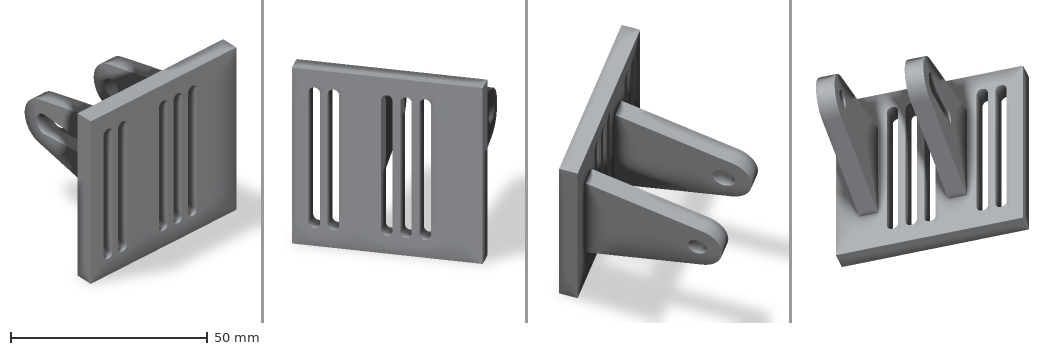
import cadquery as cq
import math

plate_side = 50.0
plate_thickness = 5.0
overall_depth = 41.65

slot_length = 40.0
slot_width = 3.0
slot_centers_y = (-19.1, -14.1, -0.1, 4.9, 9.9)

arm_thickness = 5.0
arm_base_height = 27.7
arm_tip_radius = 6.8
front_arm_near_y = -10.0
back_arm_near_y = 13.7

pivot_radius = 2.55
pivot_from_tip = 6.65

pocket_depth = 4.1
pocket_wide_radius = 3.0
pocket_wide_from_tip = 7.5
pocket_narrow_radius = 2.0
pocket_narrow_from_tip = 21.1

tip_x = -overall_depth / 2
plate_front_x = overall_depth / 2 - plate_thickness


def extrude_back(outline, near_y, length):
    """Extrude an outline drawn in the XZ plane toward +Y, starting at near_y."""
    return outline.extrude(-length).translate((0, near_y, 0))


def disc(center_x, radius, near_y, length):
    outline = cq.Workplane("XZ").center(center_x, 0).circle(radius)
    return extrude_back(outline, near_y, length)


def arm(near_y):
    half_base = arm_base_height / 2
    center_x = tip_x + arm_tip_radius
    reach = plate_front_x - center_x
    corner_angle = math.atan2(half_base, reach)
    tangent_angle = corner_angle + math.acos(arm_tip_radius / math.hypot(reach, half_base))
    tangent_x = center_x + arm_tip_radius * math.cos(tangent_angle)
    tangent_z = arm_tip_radius * math.sin(tangent_angle)
    outline = (
        cq.Workplane("XZ")
        .moveTo(plate_front_x, -half_base)
        .lineTo(plate_front_x, half_base)
        .lineTo(tangent_x, tangent_z)
        .threePointArc((tip_x, 0), (tangent_x, -tangent_z))
        .close()
    )
    return extrude_back(outline, near_y, arm_thickness)


def tapered_pocket(near_y):
    wide_x = tip_x + pocket_wide_from_tip
    narrow_x = tip_x + pocket_narrow_from_tip
    tangent_cos = (pocket_wide_radius - pocket_narrow_radius) / (narrow_x - wide_x)
    tangent_sin = math.sqrt(1 - tangent_cos**2)
    wide_tangent_x = wide_x + pocket_wide_radius * tangent_cos
    wide_tangent_z = pocket_wide_radius * tangent_sin
    narrow_tangent_x = narrow_x + pocket_narrow_radius * tangent_cos
    narrow_tangent_z = pocket_narrow_radius * tangent_sin
    outline = (
        cq.Workplane("XZ")
        .moveTo(wide_tangent_x, wide_tangent_z)
        .lineTo(narrow_tangent_x, narrow_tangent_z)
        .threePointArc((narrow_x + pocket_narrow_radius, 0), (narrow_tangent_x, -narrow_tangent_z))
        .lineTo(wide_tangent_x, -wide_tangent_z)
        .threePointArc((wide_x - pocket_wide_radius, 0), (wide_tangent_x, wide_tangent_z))
        .close()
    )
    return extrude_back(outline, near_y, pocket_depth)


def slotted_plate():
    plate = cq.Workplane("XY").box(plate_thickness, plate_side, plate_side)
    slots = (
        cq.Workplane("YZ", origin=(-plate_thickness / 2, 0, 0))
        .pushPoints([(y, 0) for y in slot_centers_y])
        .slot2D(slot_length, slot_width, 90)
        .extrude(plate_thickness)
    )
    return plate.cut(slots).translate((plate_front_x + plate_thickness / 2, 0, 0))


pivot_hole = disc(tip_x + pivot_from_tip, pivot_radius, back_arm_near_y, arm_thickness)
back_arm = arm(back_arm_near_y).cut(pivot_hole)

pocket_hole = disc(tip_x + pocket_wide_from_tip, pocket_wide_radius, front_arm_near_y, arm_thickness)
front_arm = arm(front_arm_near_y).cut(tapered_pocket(front_arm_near_y)).cut(pocket_hole)

result = slotted_plate().union(back_arm).union(front_arm)